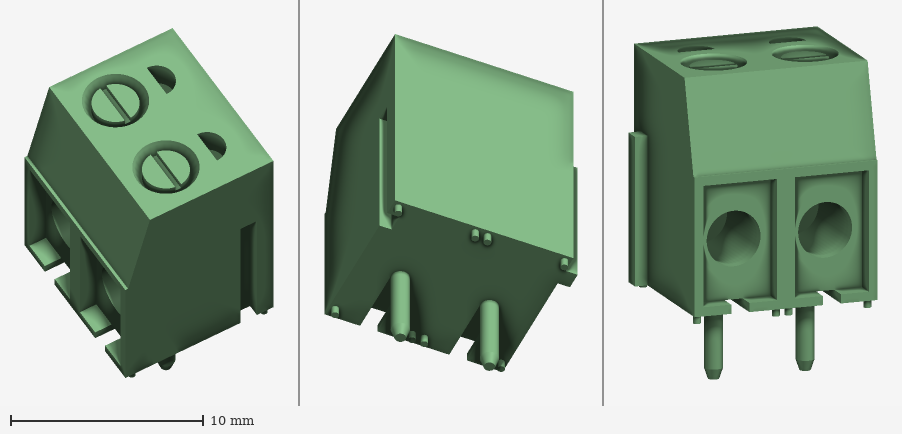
import cadquery as cq

module_count = 2
module_pitch = 5.08
module_depth = 9.0
overall_height = 17
base_z = 4.49
terminal_x = module_pitch / 2
terminal_y = 4.0

slope_height = 5.0
slope_top_y = 1.5
slope_bottom_y = 0.17
ledge_z = overall_height - slope_height

rib_projection = 0.7
rib_width = 0.99
rib_back_margin = 1.0
rib_top_z = 12.53
rib_front_y = module_depth - rib_back_margin - rib_width

pocket_width = 4.1
pocket_depth = 1.0
pocket_top_margin = 0.5
base_wall = 0.5
pocket_bottom_z = base_z + base_wall
pocket_top_z = ledge_z - pocket_top_margin
bore_diameter = 3.0
bore_depth = 5.0
bore_z = (pocket_bottom_z + pocket_top_z) / 2

well_mouth_diameter = 3.5
screw_diameter = 2.5
well_depth = 0.87
screw_head_recess = 0.2
screw_slot_width = 0.35
screw_slot_depth = 0.3

test_diameter = 2.0
test_depth = 1.5
test_flat_y = 6.5

pin_diameter = 1.0
pin_tip_diameter = 0.6
pin_tip_height = 0.6

foot_diameter = 0.4
foot_height = 0.5
foot_x_offset = 2.2
foot_front_y = 0.6
foot_back_margin = 0.37
foot_back_y = module_depth - foot_back_margin


def box(x, y, z, width, depth, height):
    """Box whose lowest corner lies at (x, y, z)."""
    return cq.Workplane().box(width, depth, height, centered=False).translate((x, y, z))


def cylinder(x, y, z, diameter, height):
    """Upright cylinder standing on the point (x, y, z)."""
    return cq.Workplane().circle(diameter / 2).extrude(height).translate((x, y, z))


def frustum(x, y, z, bottom_diameter, top_diameter, height):
    """Upright truncated cone standing on the point (x, y, z)."""
    cone = cq.Solid.makeCone(bottom_diameter / 2, top_diameter / 2, height)
    return cq.Workplane(cone.translate(cq.Vector(x, y, z)))


def make_block():
    side_profile = [
        (0, base_z),
        (module_depth, base_z),
        (module_depth, overall_height),
        (slope_top_y, overall_height),
        (slope_bottom_y, ledge_z),
        (0, ledge_z),
    ]
    return cq.Workplane("YZ").polyline(side_profile).close().extrude(module_pitch)


def make_rib(x):
    """Interlocking rib that starts at x and projects towards +X."""
    return box(x, rib_front_y, base_z, rib_projection, rib_width, rib_top_z - base_z)


def make_wire_entry():
    pocket = box(
        terminal_x - pocket_width / 2, 0, pocket_bottom_z,
        pocket_width, pocket_depth, pocket_top_z - pocket_bottom_z,
    )
    bore = (
        cq.Workplane("XZ", origin=(terminal_x, 0, bore_z))
        .circle(bore_diameter / 2)
        .extrude(-(pocket_depth + bore_depth))
    )
    pin_channel = box(
        terminal_x - pin_diameter / 2, 0, base_z,
        pin_diameter, terminal_y, base_wall,
    )
    return pocket.union(bore).union(pin_channel)


def make_screw_well():
    """Conical well around a raised, slotted screw head."""
    floor_z = overall_height - well_depth
    cone = frustum(terminal_x, terminal_y, floor_z, screw_diameter, well_mouth_diameter, well_depth)
    head_z = overall_height - screw_head_recess
    head = cylinder(terminal_x, terminal_y, floor_z, screw_diameter, head_z - floor_z)
    slot = box(
        terminal_x - screw_diameter / 2, terminal_y - screw_slot_width / 2, head_z - screw_slot_depth,
        screw_diameter, screw_slot_width, screw_slot_depth,
    )
    return cone.cut(head.cut(slot))


def make_test_opening():
    radius = test_diameter / 2
    return (
        cq.Workplane(origin=(terminal_x, test_flat_y, overall_height))
        .moveTo(-radius, 0)
        .threePointArc((0, radius), (radius, 0))
        .close()
        .extrude(-test_depth)
    )


def make_pin():
    tip = frustum(terminal_x, terminal_y, 0, pin_tip_diameter, pin_diameter, pin_tip_height)
    shank_height = pocket_bottom_z - pin_tip_height
    shank = cylinder(terminal_x, terminal_y, pin_tip_height, pin_diameter, shank_height)
    return shank.union(tip)


def make_module():
    module = make_block().cut(make_wire_entry()).cut(make_screw_well()).cut(make_test_opening())
    module = module.cut(make_rib(module_pitch - rib_projection))
    module = module.union(make_rib(-rib_projection)).union(make_pin())
    for x in (terminal_x - foot_x_offset, terminal_x + foot_x_offset):
        for y in (foot_front_y, foot_back_y):
            module = module.union(cylinder(x, y, base_z - foot_height, foot_diameter, foot_height))
    return module


modules = [make_module().translate((i * module_pitch, 0, 0)) for i in range(module_count)]
result = cq.Compound.makeCompound([module.val() for module in modules])